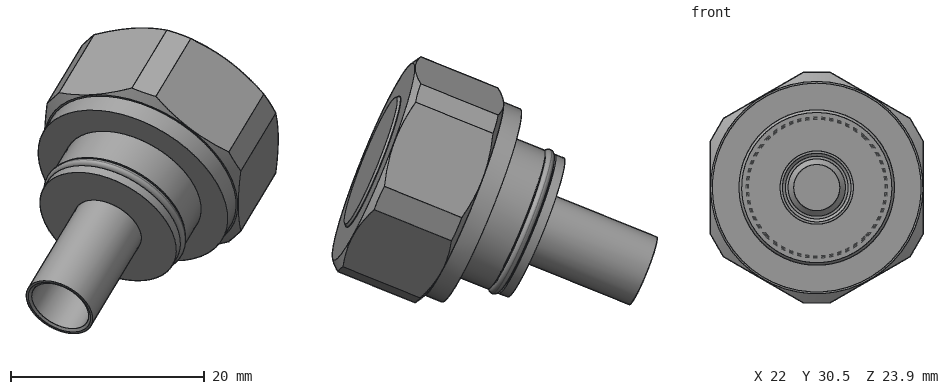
import cadquery as cq

total_length = 30.53

tube_radius = 3.8
bore_radius = 3.25
bore_mouth_radius = 3.55
bore_mouth_depth = 0.18
pin_radius = 2.95
pin_tip_radius = 2.38
pin_chamfer = pin_radius - pin_tip_radius
pin_length = 3.05

body_radius = 7.75
body_front = 12.03
body_back = 18.17
groove_center = 13.65
groove_width = 1.22
groove_floor_radius = 7.17
ring_outer_radius = 8.03
ring_wire_radius = 0.5

flange_radius = 10.78

nut_front = 20.25
nut_back = 30.22
nut_across_flats = 22.0
nut_across_corners = 23.85
nut_face_radius = 10.95
nut_chamfer_length = 0.6

disc_base_radius = 7.3
disc_chamfer = 0.25


def cylinder(radius, front, back):
    """Solid cylinder on the Y axis between two Y positions."""
    return cq.Workplane("ZX", origin=(0, front, 0)).circle(radius).extrude(back - front)


def revolve_profile(points):
    """Solid turned about the Y axis from (radius, Y) points."""
    return cq.Workplane("ZY").polyline(points).close().revolve(360, (0, 0, 0), (0, 1, 0))


def hexagonal_prism(across_flats, turn):
    """Hexagon over the length of the nut, turned about the Y axis by an angle in degrees."""
    prism = (
        cq.Workplane("ZX", origin=(0, nut_front, 0))
        .polygon(6, across_flats, circumscribed=True)
        .extrude(nut_back - nut_front)
    )
    return prism.rotate((0, 0, 0), (0, 1, 0), turn)


def make_nut():
    main_flats = hexagonal_prism(nut_across_flats, 30)
    corner_flats = hexagonal_prism(nut_across_corners, 0)
    corner_radius = nut_across_corners / 2
    cone_slope = (corner_radius - nut_face_radius) / nut_chamfer_length
    nut_middle = (nut_front + nut_back) / 2
    apex_radius = nut_face_radius + cone_slope * (nut_back - nut_middle)
    cones = revolve_profile([
        (0, nut_front),
        (nut_face_radius, nut_front),
        (apex_radius, nut_middle),
        (nut_face_radius, nut_back),
        (0, nut_back),
    ])
    return main_flats.intersect(corner_flats).intersect(cones)


def make_disc():
    disc = cylinder(disc_base_radius, nut_back, total_length)
    return disc.faces(">Y").chamfer(disc_chamfer)


def make_body():
    body = cylinder(body_radius, body_front, body_back)
    groove_front = groove_center - groove_width / 2
    groove_back = groove_center + groove_width / 2
    groove = cylinder(body_radius, groove_front, groove_back).cut(
        cylinder(groove_floor_radius, groove_front, groove_back)
    )
    ring_solid = cq.Solid.makeTorus(
        ring_outer_radius - ring_wire_radius,
        ring_wire_radius,
        cq.Vector(0, groove_center, 0),
        cq.Vector(0, 1, 0),
    )
    ring = cq.Workplane(ring_solid)
    return body.cut(groove).union(ring)


def make_tube():
    bore = revolve_profile([
        (0, 0),
        (bore_mouth_radius, 0),
        (bore_radius, bore_mouth_depth),
        (bore_radius, body_front),
        (0, body_front),
    ])
    pin = cylinder(pin_radius, body_front - pin_length, body_front)
    pin = pin.faces("<Y").chamfer(pin_chamfer)
    return cylinder(tube_radius, 0, body_front).cut(bore).union(pin)


flange = cylinder(flange_radius, body_back, nut_front)

result = make_tube().union(make_body()).union(flange).union(make_nut()).union(make_disc())